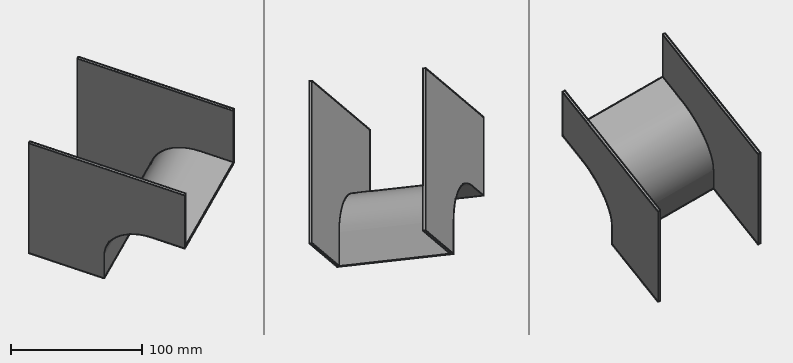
import cadquery as cq

side_length = 130.0
overall_width = 94.4
wall_thickness = 2.2

leg_width = 62.9
bend_radius = 40.0

channel_depth = leg_width - wall_thickness
bend_center = leg_width + bend_radius


def bend_profile(depth, radius):
    """L-shaped region filling the top-left, with a rounded inner corner."""
    half = side_length / 2
    left, top = -half, half
    right, bottom = half, -half
    wall_x, wall_z = left + depth, top - depth
    center_x, center_z = wall_x + radius, wall_z - radius
    diagonal = radius * 0.5 ** 0.5
    return (
        cq.Workplane("XZ")
        .moveTo(left, top)
        .lineTo(right, top)
        .lineTo(right, wall_z)
        .lineTo(center_x, wall_z)
        .threePointArc((center_x - diagonal, center_z + diagonal), (wall_x, center_z))
        .lineTo(wall_x, bottom)
        .lineTo(left, bottom)
        .close()
    )


elbow = bend_profile(leg_width, bend_radius).extrude(overall_width / 2, both=True)

inner_width = overall_width - 2 * wall_thickness
channel = bend_profile(channel_depth, bend_center - channel_depth).extrude(inner_width / 2, both=True)

result = elbow.cut(channel)